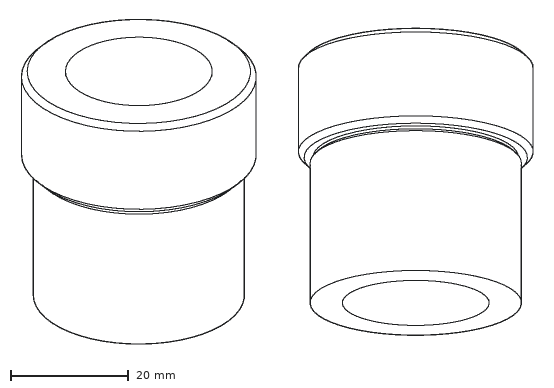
import cadquery as cq

total_height = 43.0
head_diameter = 40.0
head_height = 17.0
head_chamfer = 1.0
body_diameter = 36.0
bore_diameter = 25.0
neck_diameter = 35.0
neck_height = 0.5
body_chamfer = (body_diameter - neck_diameter) / 2

head_radius = head_diameter / 2
head_face_radius = head_radius - head_chamfer
body_radius = body_diameter / 2
bore_radius = bore_diameter / 2
neck_radius = neck_diameter / 2
shoulder_z = total_height - head_height
neck_bottom_z = shoulder_z - neck_height
body_top_z = neck_bottom_z - body_chamfer

half_section = [
    (bore_radius, 0),
    (body_radius, 0),
    (body_radius, body_top_z),
    (neck_radius, neck_bottom_z),
    (neck_radius, shoulder_z),
    (head_face_radius, shoulder_z),
    (head_radius, shoulder_z + head_chamfer),
    (head_radius, total_height - head_chamfer),
    (head_face_radius, total_height),
    (bore_radius, total_height),
]

result = cq.Workplane("XZ").polyline(half_section).close().revolve(360, (0, 0, 0), (0, 1, 0))